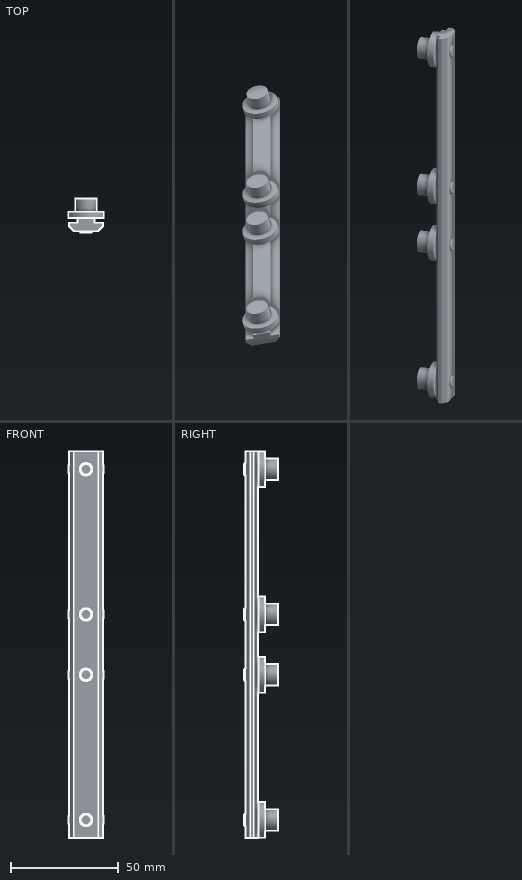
import cadquery as cq

bar_length = 180.0
bar_width = 16.0
bar_depth = 6.0
neck_width = 8.1
neck_depth = 2.0
edge_chamfer = 2.3

flange_diameter = 16.7
flange_thickness = 3.2
flange_chamfer = 0.27
head_diameter = 10.0
head_length = 6.1
tip_diameter = 6.0
tip_length = 0.7
tip_chamfer = 0.5

inner_screw_height = 14.0
outer_screw_height = 81.5

shoulder_y = bar_depth - neck_depth


def make_bar():
    """Extrude the T-shaped section, centred on Z = 0."""
    half_width = bar_width / 2
    half_neck = neck_width / 2
    half_face = half_width - edge_chamfer
    section = (
        cq.Workplane("XY", origin=(0, 0, -bar_length / 2))
        .moveTo(-half_face, 0)
        .lineTo(half_face, 0)
        .lineTo(half_width, edge_chamfer)
        .lineTo(half_width, shoulder_y)
        .lineTo(half_neck, shoulder_y)
        .lineTo(half_neck, bar_depth)
        .lineTo(-half_neck, bar_depth)
        .lineTo(-half_neck, shoulder_y)
        .lineTo(-half_width, shoulder_y)
        .lineTo(-half_width, edge_chamfer)
        .close()
    )
    return section.extrude(bar_length)


def make_cylinder(diameter, start_y, length, height):
    """Make a round pin that runs from start_y toward +Y at the given Z height."""
    plane = cq.Workplane("XZ", origin=(0, start_y, height))
    return plane.circle(diameter / 2).extrude(-length)


def make_screw(height):
    """Make one screw that passes through the bar at the given Z height."""
    tip = make_cylinder(tip_diameter, -tip_length, tip_length + bar_depth, height)
    tip = tip.faces("<Y").chamfer(tip_chamfer)
    flange = make_cylinder(flange_diameter, bar_depth, flange_thickness, height)
    flange = flange.faces("<Y").chamfer(flange_chamfer)
    head_start = bar_depth + flange_thickness
    head = make_cylinder(head_diameter, head_start, head_length, height)
    return tip.union(flange).union(head)


result = make_bar()
for screw_height in (inner_screw_height, outer_screw_height):
    for side in (-1, 1):
        result = result.union(make_screw(side * screw_height))